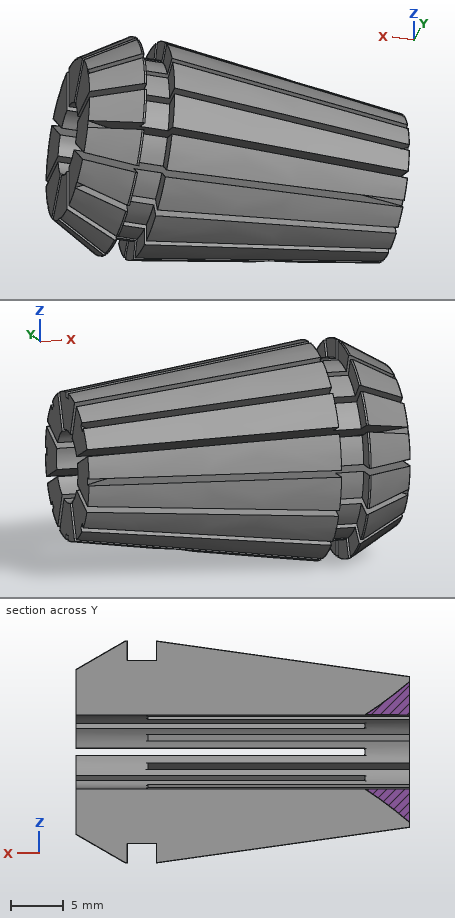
import cadquery as cq
import math

length = 31.5
max_radius = 10.5
bore_radius = 3.5

body_length = 23.9
body_taper = 8.0
groove_end = 26.65
groove_radius = 8.65
rim_width = 0.2
nose_angle = 30.0

small_end_radius = max_radius - body_length * math.tan(math.radians(body_taper))
nose_start = groove_end + rim_width
nose_end_radius = max_radius - (length - nose_start) * math.tan(math.radians(nose_angle))

slots_per_end = 8
slot_pitch = 360.0 / slots_per_end
slot_width = 0.65
saw_radius = 40.0
nose_slot_bottom = -2.95
nose_slot_runout = 6.65
small_end_slot_bottom = -0.6
small_end_slot_runout = 7.72
overcut = 1.58


def collet_blank():
    """Revolved body with the clamping cones, the extraction groove and the bore."""
    return (
        cq.Workplane("XY")
        .moveTo(0, bore_radius)
        .lineTo(0, small_end_radius)
        .lineTo(body_length, max_radius)
        .lineTo(body_length, groove_radius)
        .lineTo(groove_end, groove_radius)
        .lineTo(groove_end, max_radius)
        .lineTo(nose_start, max_radius)
        .lineTo(length, nose_end_radius)
        .lineTo(length, bore_radius)
        .close()
        .revolve(360, (0, 0, 0), (1, 0, 0))
    )


def slot_cutter(bottom, runout):
    """Cutter for a slot above the axis that is open at the nose and runs out at X = 0."""
    saw_height = bottom + saw_radius
    saw_x = math.sqrt(saw_radius**2 - (saw_height - runout) ** 2)
    top = max_radius + overcut

    def saw_point(height):
        """Point on the saw's edge at a height, on the side facing the small end."""
        return (saw_x - math.sqrt(saw_radius**2 - (saw_height - height) ** 2), height)

    return (
        cq.Workplane("XZ")
        .moveTo(*saw_point(top))
        .threePointArc(saw_point(runout), (saw_x, bottom))
        .lineTo(length + overcut, bottom)
        .lineTo(length + overcut, top)
        .close()
        .extrude(slot_width / 2, both=True)
    )


def cut_slot_ring(part, cutter, start_angle):
    """Cut one slot per pitch around the axis."""
    for i in range(slots_per_end):
        angle = start_angle + i * slot_pitch
        part = part.cut(cutter.rotate((0, 0, 0), (1, 0, 0), angle))
    return part


nose_slot = slot_cutter(nose_slot_bottom, nose_slot_runout)
small_end_slot = slot_cutter(small_end_slot_bottom, small_end_slot_runout).mirror(
    "YZ", (length / 2, 0, 0)
)

result = collet_blank()
result = cut_slot_ring(result, nose_slot, 0)
result = cut_slot_ring(result, small_end_slot, slot_pitch / 2)